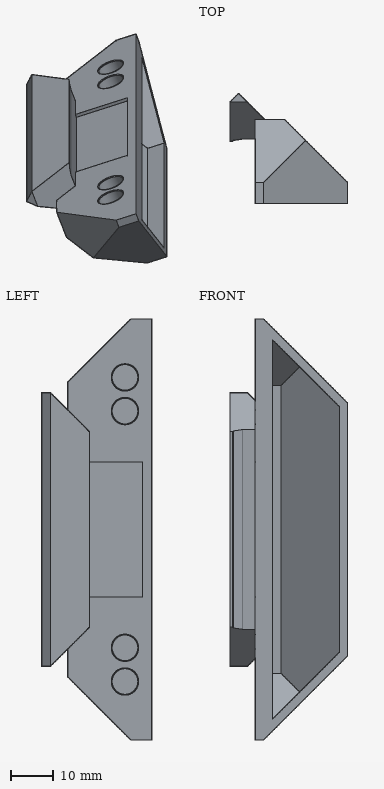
import cadquery as cq
import math

length = 100.0
half_length = length / 2
body_width = 22.0
body_depth = 20.0
rim_height = 5.0
end_land = 2.0

wall = 2.0
mounting_wall = 4.2

lip_reach = 6.0
lip_top = 26.2
lip_half_length = 32.5
lip_shoulder = 24.1
lip_tip = 14.8
lip_underside = 15.3
tip_land = 0.6
tip_step_width = 0.3
tip_step_y = 15.0
underside_bend = 3.0

recess_length = 32.0
recess_depth = 0.8
recess_start = 2.2
hole_diameter = 6.1
hole_depth = 2.8
hole_chamfer = 0.2
hole_y = 6.4
hole_heights = (28.1, 36.1)


def beveled_block(x_min, x_max, y_max, x_y_sum, x_z_sum, y_z_sum):
    """Block from Y = 0, symmetric in Z, cut by 45 degree planes set by their coordinate sums."""
    plan = (
        cq.Workplane("XY")
        .polyline([
            (x_min, 0),
            (x_max, 0),
            (x_max, x_y_sum - x_max),
            (x_y_sum - y_max, y_max),
            (x_min, y_max),
        ])
        .close()
        .extrude(half_length, both=True)
    )
    x_bevel = max(x_min, x_z_sum - half_length)
    z_end = x_z_sum - x_bevel
    outline = [(x_bevel, z_end), (x_max, x_z_sum - x_max), (x_max, x_max - x_z_sum), (x_bevel, -z_end)]
    if x_bevel > x_min:
        outline += [(x_min, -z_end), (x_min, z_end)]
    front = cq.Workplane("XZ").polyline(outline).close().extrude(-y_max)
    y_bevel = y_z_sum - z_end
    side = (
        cq.Workplane("YZ", origin=(x_min, 0, 0))
        .polyline([
            (0, -z_end),
            (y_bevel, -z_end),
            (y_max, y_max - y_z_sum),
            (y_max, y_z_sum - y_max),
            (y_bevel, z_end),
            (0, z_end),
        ])
        .close()
        .extrude(x_max - x_min)
    )
    return plan.intersect(front).intersect(side)


def make_lip():
    edge_bevel = lip_top - lip_shoulder
    apex_x = edge_bevel - lip_reach
    back_sum = apex_x + lip_top
    profile = (
        cq.Workplane("XY")
        .polyline([
            (-lip_reach, lip_tip),
            (-lip_reach, lip_shoulder),
            (apex_x, lip_top),
            (back_sum - body_depth, body_depth),
            (back_sum - body_depth, lip_underside),
            (-underside_bend, lip_underside),
            (tip_land + tip_step_width - lip_reach, tip_step_y),
            (tip_land - lip_reach, lip_tip),
        ])
        .close()
        .extrude(lip_half_length, both=True)
    )
    tip_half_length = lip_half_length - (lip_shoulder - lip_tip)
    ends = (
        cq.Workplane("YZ", origin=(-lip_reach, 0, 0))
        .polyline([
            (lip_tip, -tip_half_length),
            (lip_shoulder, -lip_half_length),
            (lip_top, -lip_half_length),
            (lip_top, lip_half_length),
            (lip_shoulder, lip_half_length),
            (lip_tip, tip_half_length),
        ])
        .close()
        .extrude(2 * lip_reach + body_width)
    )
    return profile.intersect(ends)


def make_recess():
    return cq.Workplane("XY").box(
        recess_depth, lip_underside - recess_start, recess_length, centered=(False, False, True)
    ).translate((0, recess_start, 0))


def make_holes():
    centers = [(hole_y, side * height) for side in (-1, 1) for height in hole_heights]
    bore_radius = hole_diameter / 2
    bores = cq.Workplane("YZ").pushPoints(centers).circle(bore_radius).extrude(hole_depth)
    mouths = (
        cq.Workplane("YZ")
        .pushPoints(centers)
        .circle(bore_radius + hole_chamfer)
        .extrude(hole_chamfer, taper=45)
    )
    return bores.union(mouths)


x_y_sum = body_width + rim_height
x_z_sum = end_land + half_length
y_z_sum = rim_height + half_length

bevel_offset = wall * math.sqrt(2)

body = beveled_block(0, body_width, body_depth, x_y_sum, x_z_sum, y_z_sum)
cavity = beveled_block(
    mounting_wall,
    body_width - wall,
    body_depth - wall,
    x_y_sum - bevel_offset,
    x_z_sum - bevel_offset,
    y_z_sum - bevel_offset,
)

result = body.union(make_lip()).cut(cavity).cut(make_recess()).cut(make_holes())